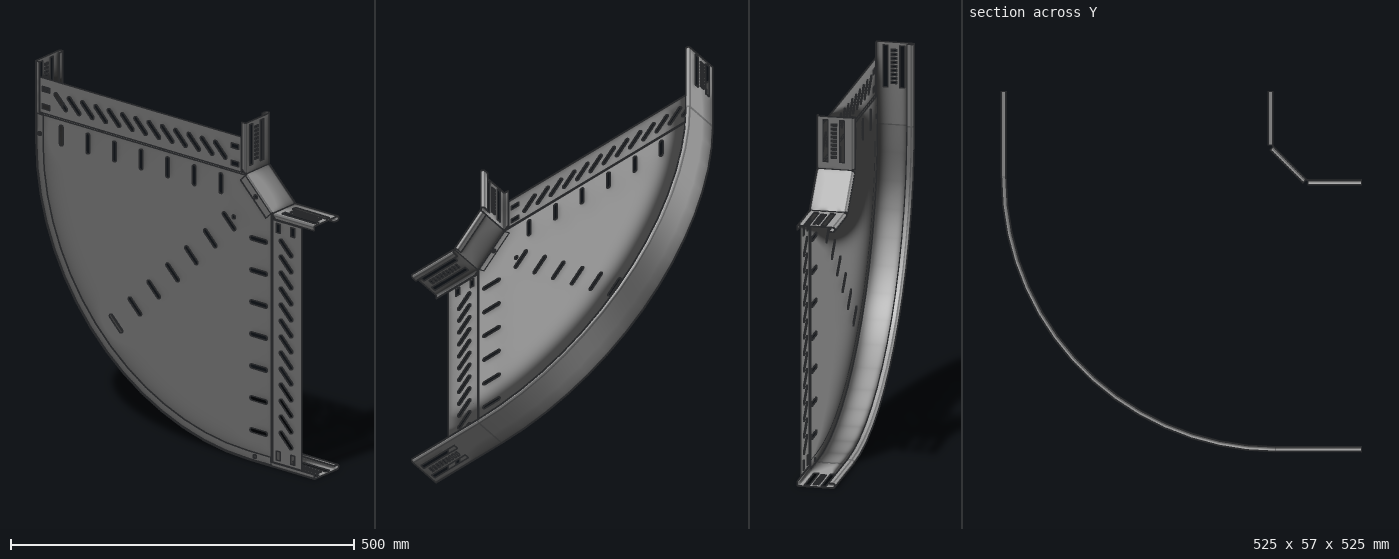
import cadquery as cq
import math


SIZE = 525.0
HEIGHT = 57.0
SHEET = 1.0
BEND_RADIUS = 400.0

FOLD_RADIUS = 2.0
HEM_DEPTH = 10.5
OUTER_FLANGE = 14.5
ARM_FLANGE = 7.5
HEM_WIDTH = 8.0

OPENING = 396.5
ARM_START = 445.5
TAB_DEPTH = 15.0
CORNER_GAP = 1.0

PLATE_GAP = 2.5
STRIP_LOW = 443.5
STRIP_STEP = 3.0
STRIP_HIGH = 502.0
STRIP_CLEARANCE = 1.0
STEP_CLEARANCE = 2.5

SLOT_LENGTH = 32.5
SLOT_WIDTH = 7.0
ROW_CENTRE = OPENING / 2
ROW_SPAN = 300.5
STRIP_SLOTS = 13
EDGE_SLOTS = 7
STRIP_ROW = 472.0
EDGE_ROW = 419.5
DIAGONAL_SLOTS = 7
DIAGONAL_FIRST = 151.0
DIAGONAL_LAST = 364.0
WINDOW_LENGTH = 14.0
WINDOW_WIDTH = 7.5
WINDOW_SPREAD = 356.0
WINDOW_PITCH = 27.5
WINDOW_ROW = 471.0
PLATE_HOLE = 373.0

HOLE_DIAMETER = 6.5
FLANGE_HOLE_INSET = 8.5
FLANGE_HOLE_ALONG = 413.0
TAB_HOLE = 415.0

LONG_SLOT_LENGTH = 63.5
LONG_SLOT_WIDTH = 7.5
LONG_SLOT_PITCH = 24.5
END_SLOT_Y = 25.5
END_SLOT_INSET = 37.0
SHORT_SLOTS = 9
SHORT_SLOT_SPAN = 49.0
SHORT_SLOT_LENGTH = 8.5
SHORT_SLOT_WIDTH = 3.0

ARM_LENGTH = SIZE - ARM_START - CORNER_GAP


def mirrored(shape):
    """Copy on the other side of the symmetry plane X = Z."""
    return shape.mirror((1, 0, -1), (0, 0, 0))


def with_mirror(shape):
    return shape.union(mirrored(shape))


def spread(centre, span, count):
    """Evenly spaced positions about a centre."""
    return [centre + span * (i / (count - 1) - 0.5) for i in range(count)]


def slot_cutter(points, angle):
    """Round-ended slots through the plate at points given in X and Z."""
    face = cq.Workplane("XZ").pushPoints(points)
    return face.slot2D(SLOT_LENGTH, SLOT_WIDTH, angle).extrude(HEIGHT / 2, both=True)


def hole_cutter(x, z):
    return cq.Workplane("XZ").center(x, z).circle(HOLE_DIAMETER / 2).extrude(HEIGHT / 2, both=True)


def fastening_holes():
    flange_hole = hole_cutter(FLANGE_HOLE_INSET, FLANGE_HOLE_ALONG)
    return with_mirror(flange_hole).union(hole_cutter(TAB_HOLE, TAB_HOLE))


def wall_section(plane, flange):
    """Bent sheet section: local x runs into the tray from the wall face, local y is Y."""
    roll = HEM_WIDTH / 2
    roll_y = HEIGHT - roll
    inner_roll = roll - SHEET
    nook = FOLD_RADIUS - SHEET
    diag = math.sqrt(0.5)
    return (
        plane.moveTo(flange, 0)
        .lineTo(FOLD_RADIUS, 0)
        .threePointArc((FOLD_RADIUS * (1 - diag), FOLD_RADIUS * (1 - diag)), (0, FOLD_RADIUS))
        .lineTo(0, roll_y)
        .threePointArc((roll, HEIGHT), (HEM_WIDTH, roll_y))
        .lineTo(HEM_WIDTH, HEIGHT - HEM_DEPTH)
        .lineTo(HEM_WIDTH - SHEET, HEIGHT - HEM_DEPTH)
        .lineTo(HEM_WIDTH - SHEET, roll_y)
        .threePointArc((roll, roll_y + inner_roll), (SHEET, roll_y))
        .lineTo(SHEET, FOLD_RADIUS)
        .threePointArc((FOLD_RADIUS - nook * diag, FOLD_RADIUS - nook * diag), (FOLD_RADIUS, SHEET))
        .lineTo(flange, SHEET)
        .close()
    )


def end_slots(face_x):
    """Slot group through the wall end that stands at face_x and points along Z."""
    end = cq.Workplane("YZ", origin=(face_x, END_SLOT_Y, SIZE - END_SLOT_INSET))
    long_slots = end.rarray(LONG_SLOT_PITCH, 5, 2, 1).rect(LONG_SLOT_WIDTH, LONG_SLOT_LENGTH)
    cutter = long_slots.extrude(2 * SHEET, both=True)
    short_pitch = SHORT_SLOT_SPAN / (SHORT_SLOTS - 1)
    short_slots = end.rarray(5, short_pitch, 1, SHORT_SLOTS).rect(SHORT_SLOT_LENGTH, SHORT_SLOT_WIDTH)
    return cutter.union(short_slots.extrude(2 * SHEET, both=True))


def make_outer_wall():
    on_arc = BEND_RADIUS * (1 - math.sqrt(0.5))
    path = (
        cq.Workplane("XZ")
        .moveTo(0, SIZE)
        .lineTo(0, BEND_RADIUS)
        .threePointArc((on_arc, on_arc), (BEND_RADIUS, 0))
        .lineTo(SIZE, 0)
    )
    end_plane = cq.Workplane("XY", origin=(0, 0, SIZE))
    wall = wall_section(end_plane, OUTER_FLANGE).sweep(path)

    notch = cq.Workplane("XY").box(
        OUTER_FLANGE, 2 * SHEET, SIZE - STRIP_LOW, centered=(False, True, False)
    ).translate((ARM_FLANGE, 0, STRIP_LOW))
    return wall.cut(with_mirror(notch)).cut(with_mirror(end_slots(0))).cut(fastening_holes())


def make_inner_wall():
    mitre = SHEET * math.tan(math.pi / 8)
    inside = OPENING - SHEET
    upright = (
        cq.Workplane("XZ", origin=(0, FOLD_RADIUS, 0))
        .polyline([
            (OPENING, SIZE), (OPENING, ARM_START), (ARM_START, OPENING), (SIZE, OPENING),
            (SIZE, inside), (ARM_START - mitre, inside), (inside, ARM_START - mitre), (inside, SIZE),
        ])
        .close()
        .extrude(-(HEIGHT - FOLD_RADIUS - HEM_WIDTH / 2))
    )

    arm_end = cq.Workplane(cq.Plane((OPENING, 0, SIZE), (-1, 0, 0), (0, 0, -1)))
    arm = wall_section(arm_end, ARM_FLANGE).extrude(ARM_LENGTH)
    flange_edge = OPENING - ARM_FLANGE
    arm_bottom = SIZE - ARM_LENGTH
    corner = (
        cq.Workplane("XZ")
        .polyline([
            (flange_edge, arm_bottom),
            (OPENING - FOLD_RADIUS, arm_bottom),
            (flange_edge, arm_bottom + ARM_FLANGE - FOLD_RADIUS),
        ])
        .close()
        .extrude(-SHEET)
    )
    arms = with_mirror(arm.cut(corner))

    crank = ARM_START - OPENING
    inset = CORNER_GAP * math.sqrt(0.5)
    diagonal_end = cq.Workplane(
        cq.Plane((OPENING + inset, 0, ARM_START - inset), (-1, 0, -1), (1, 0, -1))
    )
    tab_length = crank * math.sqrt(2) - 2 * CORNER_GAP
    diagonal = wall_section(diagonal_end, TAB_DEPTH).extrude(tab_length)

    wall = upright.union(arms).union(diagonal)
    return wall.cut(with_mirror(end_slots(OPENING))).cut(fastening_holes())


def make_joint_strip():
    """Strip along the top edge, stepped down by one sheet to lie level with the flanges."""
    left = ARM_FLANGE + STRIP_CLEARANCE
    strip_right = OPENING - HEM_WIDTH - STRIP_CLEARANCE
    step_right = OPENING - STEP_CLEARANCE
    step_end = STRIP_LOW + STRIP_STEP
    step = (
        cq.Workplane("YZ", origin=(left, 0, 0))
        .polyline([(SHEET, STRIP_LOW), (2 * SHEET, STRIP_LOW), (SHEET, step_end), (0, step_end)])
        .close()
        .extrude(step_right - left)
    )
    strip = cq.Workplane("XY").box(
        strip_right - left, SHEET, STRIP_HIGH - step_end, centered=False
    ).translate((left, 0, step_end))
    return step.union(strip)


def make_base_plate():
    radius = BEND_RADIUS - PLATE_GAP
    on_arc = BEND_RADIUS - radius * math.sqrt(0.5)
    chamfer_sum = OPENING + ARM_START - PLATE_GAP * math.sqrt(2)
    chamfer_end = chamfer_sum - STRIP_LOW
    plate = (
        cq.Workplane("XZ", origin=(0, SHEET, 0))
        .moveTo(PLATE_GAP, STRIP_LOW)
        .lineTo(PLATE_GAP, BEND_RADIUS)
        .threePointArc((on_arc, on_arc), (BEND_RADIUS, PLATE_GAP))
        .lineTo(STRIP_LOW, PLATE_GAP)
        .lineTo(STRIP_LOW, chamfer_end)
        .lineTo(chamfer_end, STRIP_LOW)
        .close()
        .extrude(-SHEET)
    )
    plate = plate.union(with_mirror(make_joint_strip()))

    strip_points = [(x, STRIP_ROW) for x in spread(ROW_CENTRE, ROW_SPAN, STRIP_SLOTS)]
    strip_slots = slot_cutter(strip_points, -45)
    windows = (
        cq.Workplane("XZ")
        .center(ROW_CENTRE, WINDOW_ROW)
        .rarray(WINDOW_SPREAD, WINDOW_PITCH, 2, 2)
        .rect(WINDOW_LENGTH, WINDOW_WIDTH)
        .extrude(HEIGHT / 2, both=True)
    )

    edge_points = [(x, EDGE_ROW) for x in spread(ROW_CENTRE, ROW_SPAN, EDGE_SLOTS)]
    edge_slots = slot_cutter(edge_points, 90)
    diagonal_centre = (DIAGONAL_FIRST + DIAGONAL_LAST) / 2
    diagonal_span = DIAGONAL_LAST - DIAGONAL_FIRST
    diagonal_points = [(d, d) for d in spread(diagonal_centre, diagonal_span, DIAGONAL_SLOTS)]

    for cutter in (strip_slots, windows, edge_slots):
        plate = plate.cut(with_mirror(cutter))
    plate = plate.cut(slot_cutter(diagonal_points, -45))
    return plate.cut(hole_cutter(PLATE_HOLE, PLATE_HOLE)).cut(fastening_holes())


base_plate = make_base_plate()
outer_wall = make_outer_wall()
inner_wall = make_inner_wall()

bodies = (base_plate, outer_wall, inner_wall)
result = cq.Compound.makeCompound([body.solids().val() for body in bodies])